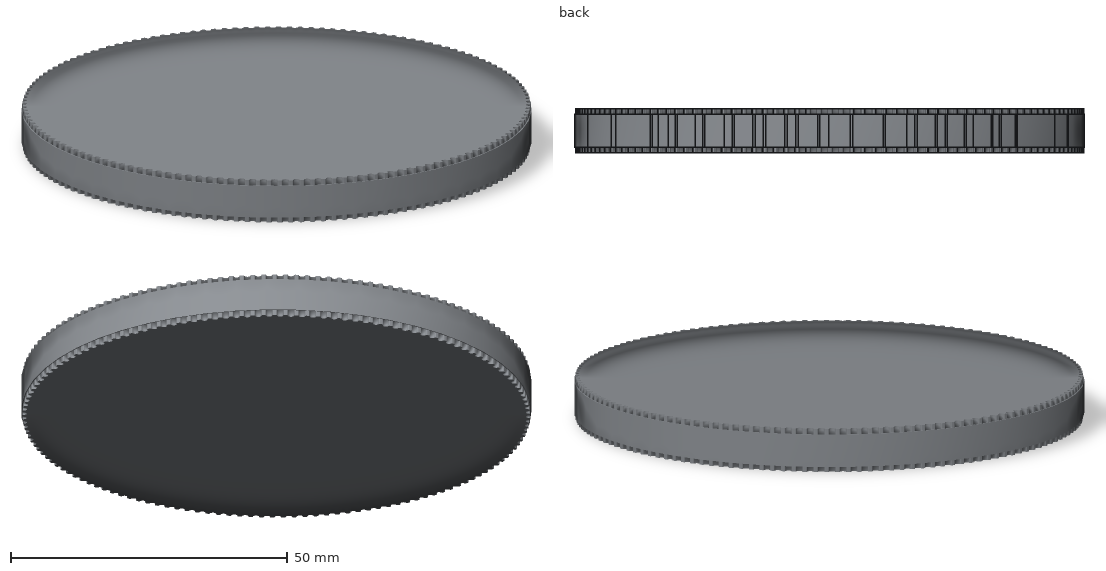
import cadquery as cq
import math

tooth_count = 145
pitch_diameter = 92.31
height = 8.0

pitch_line_offset = 0.254

groove_depth = 0.75
root_radius = 0.57
tooth_corner_radius = 0.2

bare_tooth_height = 1.0
band_height = height - 2 * bare_tooth_height

pitch_radius = pitch_diameter / 2
tip_radius = pitch_radius - pitch_line_offset
root_bottom_radius = tip_radius - groove_depth
tooth_angle = 2 * math.pi / tooth_count
first_groove_angle = -math.pi / 2


def polar(center, radius, angle):
    """Point at a radius and angle from a center."""
    return (
        center[0] + radius * math.cos(angle),
        center[1] + radius * math.sin(angle),
    )


def mirrored(point):
    """Reflect a point across the X axis."""
    return (point[0], -point[1])


def turned(point, angle):
    """Rotate a point about the disc axis."""
    x, y = point
    return (
        x * math.cos(angle) - y * math.sin(angle),
        x * math.sin(angle) + y * math.cos(angle),
    )


def half_groove_points():
    """Points of the +Y half of a groove on the +X axis, from the root out to the tooth tip."""
    root_center = (root_bottom_radius + root_radius, 0)
    corner_center_radius = tip_radius - tooth_corner_radius
    center_distance = root_radius + tooth_corner_radius
    tip_direction = math.acos(
        (root_center[0] ** 2 + corner_center_radius**2 - center_distance**2)
        / (2 * root_center[0] * corner_center_radius)
    )
    corner_center = polar((0, 0), corner_center_radius, tip_direction)

    tangent_direction = math.atan2(corner_center[1], corner_center[0] - root_center[0])
    corner_middle_direction = (tangent_direction - math.pi + tip_direction) / 2

    root_end = polar(root_center, root_radius, tangent_direction)
    corner_middle = polar(corner_center, tooth_corner_radius, corner_middle_direction)
    tip_start = polar((0, 0), tip_radius, tip_direction)
    return root_end, corner_middle, tip_start


def make_toothed_disc():
    """Extrude an outline that alternates grooves and tooth tips counterclockwise."""
    root_end, corner_middle, tip_start = half_groove_points()
    root_bottom = (root_bottom_radius, 0)
    tip_middle = turned((tip_radius, 0), tooth_angle / 2)
    tip_end = turned(mirrored(tip_start), tooth_angle)

    tooth_arcs = (
        (mirrored(corner_middle), mirrored(root_end)),
        (root_bottom, root_end),
        (corner_middle, tip_start),
        (tip_middle, tip_end),
    )

    outline = cq.Workplane("XY", origin=(0, 0, -height / 2))
    outline = outline.moveTo(*turned(mirrored(tip_start), first_groove_angle))
    for index in range(tooth_count):
        angle = first_groove_angle + index * tooth_angle
        for middle, end in tooth_arcs:
            outline = outline.threePointArc(turned(middle, angle), turned(end, angle))
    return outline.close().extrude(height)


def make_band():
    """Thin ring that rests on the tooth tips and covers the grooves."""
    base = cq.Workplane("XY", origin=(0, 0, -band_height / 2))
    return base.circle(pitch_radius).circle(tip_radius).extrude(band_height)


result = make_toothed_disc().union(make_band())